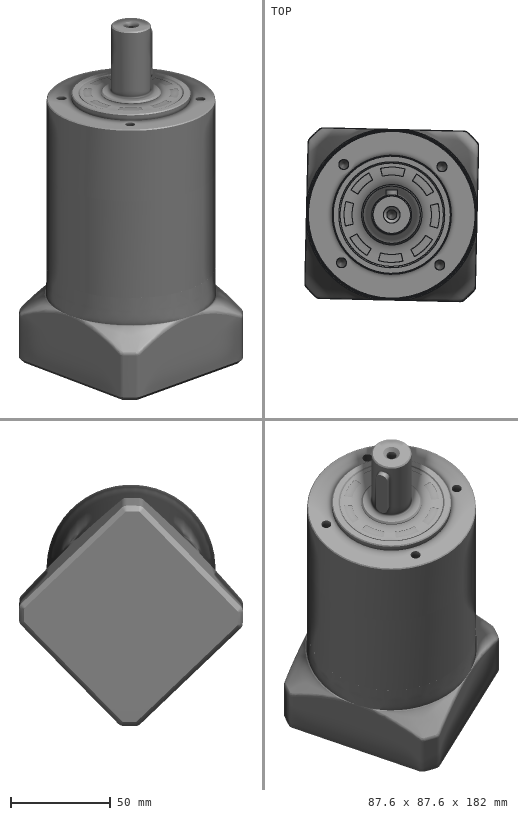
import cadquery as cq
import math


clocking = -1.33

shoulder_z = 36.2
ring_gear_z = 50.8
housing_z = 103.2
flange_z = 142.0
pilot_z = 145.4
collar_z = 146.3
shaft_top_z = 182.0

drum_radius = 42.5
drum_chamfer = 0.5

adapter_half_width = 43.0
adapter_corner_radius = 56.4
adapter_corner_z = 26.2
neck_bottom_radius = 42.9
cone_shoulder_radius = 43.5
adapter_corner_fillet = 3.5
adapter_top_fillet = 2.0
adapter_bottom_chamfer = 2.5

pilot_radius = 30.0
pilot_chamfer = 0.5
seal_radius = 26.0
seal_seat_chamfer = 0.7
seal_width = 7.0
seal_recess = 0.3
seal_bottom_z = pilot_z - seal_width
seal_top_z = pilot_z - seal_recess

drill_point_half_angle = math.radians(59)

mount_hole_count = 4
mount_hole_circle_radius = 35.0
mount_hole_radius = 2.5
mount_hole_depth = 12.0

window_count = 8
window_inner_radius = 20.0
window_outer_radius = 24.0
window_half_angle = math.radians(15)
window_depth = 0.2

shaft_radius = 10.0
shaft_tip_chamfer = 0.6
shaft_foot_fillet = 0.8
collar_radius = 15.2
collar_chamfer = 0.8
centre_bore_radius = 2.5
centre_bore_depth = 16.0
centre_sink_radius = 4.2

key_width = 6.0
key_height = 6.0
key_length = 28.0
key_bottom_z = 150.0
key_outer_y = 12.5


def cylinder(radius, bottom_z, top_z):
    return cq.Workplane("XY").workplane(offset=bottom_z).circle(radius).extrude(top_z - bottom_z)


def drill_tool(radius, depth, top_z):
    """Drilled hole on the Z axis: a cylinder of the given depth with a conical point below it."""
    return (
        cq.Workplane("XZ", origin=(0, 0, top_z))
        .lineTo(radius, 0)
        .lineTo(radius, -depth)
        .lineTo(0, -depth - radius / math.tan(drill_point_half_angle))
        .close()
        .revolve(360, (0, 0), (0, 1))
    )


def make_adapter():
    """Square block with turned corners and a conical top, rising to a slightly tapered neck."""
    slope = (shoulder_z - adapter_corner_z) / (adapter_corner_radius - cone_shoulder_radius)
    cone_inner_radius = drum_radius / 2
    cone_inner_z = shoulder_z + slope * (cone_shoulder_radius - cone_inner_radius)
    turned_blank = (
        cq.Workplane("XZ")
        .moveTo(0, 0)
        .lineTo(adapter_corner_radius, 0)
        .lineTo(adapter_corner_radius, adapter_corner_z)
        .lineTo(cone_inner_radius, cone_inner_z)
        .lineTo(0, cone_inner_z)
        .close()
        .revolve(360, (0, 0), (0, 1))
    )
    width = 2 * adapter_half_width
    square = cq.Workplane("XY").rect(width, width).extrude(cone_inner_z)
    block = square.intersect(turned_blank)
    block = block.edges("|Z").fillet(adapter_corner_fillet)
    block = block.faces("%CONE").edges().fillet(adapter_top_fillet)
    block = block.faces("<Z").chamfer(adapter_bottom_chamfer)
    block = block.intersect(cylinder(2 * width, 0, shoulder_z))
    neck = (
        cq.Workplane("XY")
        .workplane(offset=shoulder_z)
        .circle(neck_bottom_radius)
        .workplane(offset=ring_gear_z - shoulder_z)
        .circle(drum_radius)
        .loft()
    )
    return block.union(neck).rotate((0, 0, 0), (0, 0, 1), clocking)


def make_ring_gear():
    return cylinder(drum_radius, ring_gear_z, housing_z)


def make_housing():
    """Output housing with its pilot, seal seat and mounting holes."""
    drum = cylinder(drum_radius, housing_z, flange_z).faces(">Z").chamfer(drum_chamfer)
    pilot = cylinder(pilot_radius, flange_z, pilot_z).faces(">Z").chamfer(pilot_chamfer)
    seat = cylinder(seal_radius, seal_bottom_z, pilot_z)
    housing = drum.union(pilot).cut(seat)
    housing = housing.edges(cq.selectors.RadiusNthSelector(0)).edges(">Z").chamfer(seal_seat_chamfer)
    drill = drill_tool(mount_hole_radius, mount_hole_depth, flange_z)
    drill = drill.translate((mount_hole_circle_radius, 0, 0))
    for index in range(mount_hole_count):
        angle = clocking + (index + 0.5) * 360 / mount_hole_count
        housing = housing.cut(drill.rotate((0, 0, 0), (0, 0, 1), angle))
    return housing


def window_point(radius, angle):
    return (radius * math.cos(angle), radius * math.sin(angle))


def make_window():
    """Ring segment on the +X axis, cut into the face of the seal."""
    return (
        cq.Workplane("XY")
        .workplane(offset=seal_top_z - window_depth)
        .moveTo(*window_point(window_inner_radius, -window_half_angle))
        .lineTo(*window_point(window_outer_radius, -window_half_angle))
        .threePointArc((window_outer_radius, 0), window_point(window_outer_radius, window_half_angle))
        .lineTo(*window_point(window_inner_radius, window_half_angle))
        .threePointArc((window_inner_radius, 0), window_point(window_inner_radius, -window_half_angle))
        .close()
        .extrude(window_depth)
    )


def make_seal():
    seal = cylinder(seal_radius, seal_bottom_z, seal_top_z)
    seal = seal.cut(cylinder(collar_radius, seal_bottom_z, seal_top_z))
    window = make_window()
    for index in range(window_count):
        angle = clocking + index * 360 / window_count
        seal = seal.cut(window.rotate((0, 0, 0), (0, 0, 1), angle))
    return seal


def make_key():
    """Round-ended parallel key standing in the +Y side of the shaft."""
    return (
        cq.Workplane("XZ", origin=(0, key_outer_y, key_bottom_z + key_length / 2))
        .slot2D(key_length, key_width, 90)
        .extrude(key_height)
    )


def make_shaft(key):
    """Shaft with its collar, keyway and countersunk centre bore."""
    collar = cylinder(collar_radius, seal_bottom_z, collar_z).faces(">Z").chamfer(collar_chamfer)
    journal = cylinder(shaft_radius, collar_z, shaft_top_z).faces(">Z").chamfer(shaft_tip_chamfer)
    shaft = collar.union(journal)
    foot = shaft.edges(cq.selectors.RadiusNthSelector(1)).edges("<Z")
    shaft = foot.fillet(shaft_foot_fillet)
    shaft = shaft.cut(drill_tool(centre_bore_radius, centre_bore_depth, shaft_top_z))
    bore_rim = shaft.faces(">Z").edges(cq.selectors.RadiusNthSelector(0))
    shaft = bore_rim.chamfer(centre_sink_radius - centre_bore_radius)
    return shaft.cut(key)


adapter = make_adapter()
ring_gear = make_ring_gear()
housing = make_housing()
seal = make_seal()
key = make_key()
shaft = make_shaft(key)

result = cq.Compound.makeCompound(
    [adapter.val(), ring_gear.val(), housing.val(), seal.val(), shaft.val(), key.val()]
)